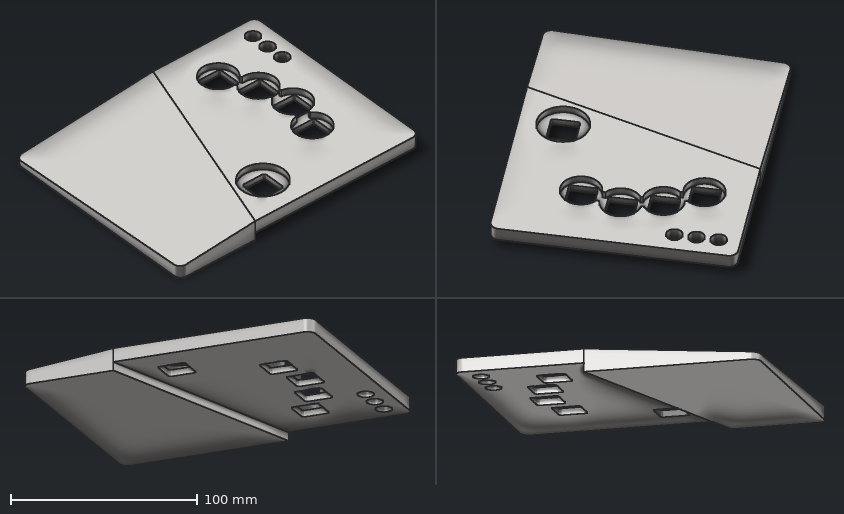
import cadquery as cq
import math

WIDTH = 135.0
LENGTH = 170.0
HEIGHT = 13.0
CORNER_RADIUS = 5.0

PLATE_THICKNESS = 8.0
PLATE_BOTTOM = HEIGHT - PLATE_THICKNESS

JOINT_LEFT_Y = 12.4
JOINT_ANGLE = 18.0
JOINT_RIGHT_Y = JOINT_LEFT_Y - WIDTH * math.tan(math.radians(JOINT_ANGLE))

REST_TILT = 5.5

ROUND_HOLE_COUNT = 3
ROUND_HOLE_DIAMETER = 9.0
ROUND_HOLE_INSET = 11.9
ROUND_HOLE_PITCH = 12.0

KEY_OPENING = 16.0
KEY_OPENING_RADIUS = 1.5
RECESS_DEPTH = 4.2

FINGER_CENTRES = [(-41.3, 36.2), (-20.9, 47.1), (1.5, 52.2), (24.1, 46.4)]
FINGER_RECESS_DIAMETER = 23.0
CHANNEL_WIDTH = 8.0

THUMB_CENTRE = (43.0, -5.0)
THUMB_RECESS_DIAMETER = 29.0


def rounded_block(bottom, top):
    """Block with the full rounded outline between two heights."""
    return (
        cq.Workplane("XY", origin=(0, 0, bottom))
        .rect(WIDTH, LENGTH)
        .extrude(top - bottom)
        .edges("|Z")
        .fillet(CORNER_RADIUS)
    )


def front_of_joint():
    """Full-height prism covering everything in front of the joint."""
    return (
        cq.Workplane("XY")
        .moveTo(-WIDTH / 2, JOINT_LEFT_Y)
        .lineTo(WIDTH / 2, JOINT_RIGHT_Y)
        .lineTo(WIDTH / 2, -LENGTH / 2)
        .lineTo(-WIDTH / 2, -LENGTH / 2)
        .close()
        .extrude(HEIGHT)
    )


def above_rest():
    """Block above the palm rest, hinged on the top edge of the joint and tilted down to the front."""
    size = 2 * LENGTH
    return (
        cq.Workplane("XY")
        .box(size, size, HEIGHT, centered=(True, True, False))
        .rotate((0, 0, 0), (1, 0, 0), REST_TILT)
        .rotate((0, 0, 0), (0, 0, 1), -JOINT_ANGLE)
        .translate((-WIDTH / 2, JOINT_LEFT_Y, HEIGHT))
    )


def round_holes():
    """Cutters for the row of round through holes."""
    first_x = -WIDTH / 2 + ROUND_HOLE_INSET
    row_y = LENGTH / 2 - ROUND_HOLE_INSET
    centres = [(first_x + i * ROUND_HOLE_PITCH, row_y) for i in range(ROUND_HOLE_COUNT)]
    return cq.Workplane("XY").pushPoints(centres).circle(ROUND_HOLE_DIAMETER / 2).extrude(HEIGHT)


def key_openings(centres):
    """Cutters for square through openings with rounded corners."""
    return (
        cq.Workplane("XY")
        .pushPoints(centres)
        .rect(KEY_OPENING, KEY_OPENING)
        .extrude(HEIGHT)
        .edges("|Z")
        .fillet(KEY_OPENING_RADIUS)
    )


def round_recesses(centres, diameter):
    """Cutters for flat round recesses in the plate top."""
    return (
        cq.Workplane("XY", origin=(0, 0, HEIGHT - RECESS_DEPTH))
        .pushPoints(centres)
        .circle(diameter / 2)
        .extrude(RECESS_DEPTH)
    )


def channel(start, end):
    """Cutter for a straight channel joining two neighbouring finger recesses."""
    run_x = end[0] - start[0]
    run_y = end[1] - start[1]
    middle = ((start[0] + end[0]) / 2, (start[1] + end[1]) / 2, HEIGHT - RECESS_DEPTH)
    return (
        cq.Workplane("XY")
        .rect(math.hypot(run_x, run_y), CHANNEL_WIDTH)
        .extrude(RECESS_DEPTH)
        .rotate((0, 0, 0), (0, 0, 1), math.degrees(math.atan2(run_y, run_x)))
        .translate(middle)
    )


def make_key_plate():
    """Plate behind the joint, with the round holes and recessed key openings."""
    plate = rounded_block(PLATE_BOTTOM, HEIGHT).cut(front_of_joint())
    plate = plate.cut(round_holes())
    plate = plate.cut(key_openings([*FINGER_CENTRES, THUMB_CENTRE]))
    plate = plate.cut(round_recesses(FINGER_CENTRES, FINGER_RECESS_DIAMETER))
    for start, end in zip(FINGER_CENTRES, FINGER_CENTRES[1:]):
        plate = plate.cut(channel(start, end))
    return plate.cut(round_recesses([THUMB_CENTRE], THUMB_RECESS_DIAMETER))


def make_palm_rest():
    """Wedge in front of the joint, with a plane sloping top."""
    return rounded_block(0, HEIGHT).intersect(front_of_joint()).cut(above_rest())


key_plate = make_key_plate()
palm_rest = make_palm_rest()

result = cq.Compound.makeCompound([key_plate.val(), palm_rest.val()])